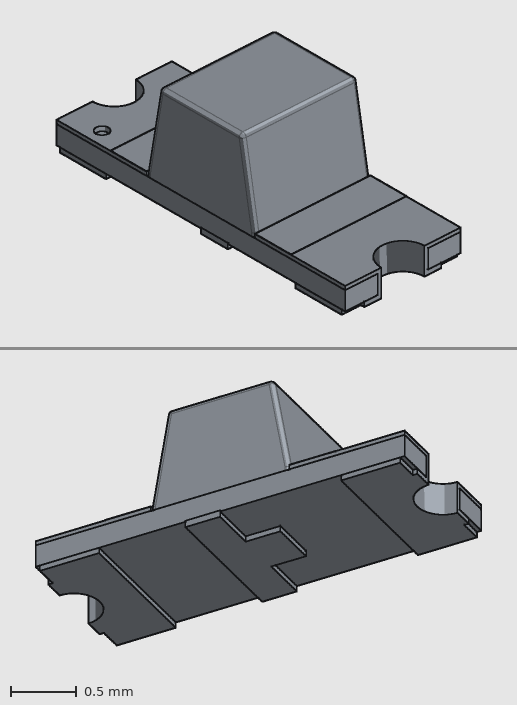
import cadquery as cq
import math

LENGTH = 3.2
WIDTH = 1.2
HEIGHT = 1.1

PAD_THICKNESS = 0.048
BOARD_THICKNESS = 0.192
COPPER_THICKNESS = 0.04
MASK_THICKNESS = 0.003
BOARD_TOP = PAD_THICKNESS + BOARD_THICKNESS
COPPER_TOP = BOARD_TOP + COPPER_THICKNESS

NOTCH_RADIUS = 0.225
BOARD_NOTCH_RADIUS = NOTCH_RADIUS + COPPER_THICKNESS

PAD_REACH = 0.55
PAD_CORNER_INSET = 0.04
PAD_TAB_WIDTH = 0.8

LENS_LENGTH = 1.2
LENS_DRAFT = 10.0
LENS_FILLET = 0.04

MASK_LENGTH = 0.4

DIMPLE_X = -1.25
DIMPLE_Y = -0.45
DIMPLE_TOP_RADIUS = 0.065
DIMPLE_FLOOR_RADIUS = 0.05

MARK_BAR_LENGTH = 0.3
MARK_STEM_LENGTH = 0.3
MARK_STEM_WIDTH = 0.4
MARK_RECESS = 0.01
MARK_THICKNESS = PAD_THICKNESS + MARK_RECESS


def block(x_start, x_end, width, z_start, z_end):
    """Box between two X and two Z positions, centred on Y = 0."""
    return (
        cq.Workplane("XY")
        .box(x_end - x_start, width, z_end - z_start, centered=(False, True, False))
        .translate((x_start, 0, z_start))
    )


def notch_cylinder(side, radius, z_start, z_end):
    """Upright cylinder centred on the end face on the given side (-1 or 1)."""
    return (
        cq.Workplane("XY", origin=(side * LENGTH / 2, 0, z_start))
        .circle(radius)
        .extrude(z_end - z_start)
    )


def make_polarity_mark():
    bar = block(0, MARK_BAR_LENGTH, WIDTH, 0, MARK_THICKNESS)
    stem = block(-MARK_STEM_LENGTH, 0, MARK_STEM_WIDTH, 0, MARK_THICKNESS)
    return bar.union(stem)


def make_board(polarity_mark):
    """Board with enlarged end notches and a recess that fits the polarity mark."""
    board = block(-LENGTH / 2, LENGTH / 2, WIDTH, PAD_THICKNESS, BOARD_TOP)
    for side in (-1, 1):
        board = board.cut(notch_cylinder(side, BOARD_NOTCH_RADIUS, PAD_THICKNESS, BOARD_TOP))
    return board.cut(polarity_mark)


def make_terminal():
    """Left terminal: top plate, plated notch wall and solder pad in one piece."""
    end = -LENGTH / 2
    top_plate = block(end, -LENS_LENGTH / 2, WIDTH, BOARD_TOP, COPPER_TOP)
    pad = block(end + PAD_CORNER_INSET, end + PAD_REACH, WIDTH, 0, PAD_THICKNESS)
    pad_tab = block(end, end + PAD_REACH, PAD_TAB_WIDTH, 0, PAD_THICKNESS)
    inside_half = block(end, 0, WIDTH, PAD_THICKNESS, BOARD_TOP)
    notch_wall = notch_cylinder(-1, BOARD_NOTCH_RADIUS, PAD_THICKNESS, BOARD_TOP).intersect(inside_half)
    terminal = pad.union(pad_tab).union(notch_wall).union(top_plate)
    return terminal.cut(notch_cylinder(-1, NOTCH_RADIUS, 0, COPPER_TOP))


def make_dimple():
    """Tapered dimple through the top plate, with the board as its floor."""
    return (
        cq.Workplane("XY", origin=(DIMPLE_X, DIMPLE_Y, BOARD_TOP))
        .circle(DIMPLE_FLOOR_RADIUS)
        .workplane(offset=COPPER_THICKNESS)
        .circle(DIMPLE_TOP_RADIUS)
        .loft()
    )


def make_lens():
    """Lens with an upright foot between the top plates and drafted end faces above."""
    foot_half = LENS_LENGTH / 2
    top_half = foot_half - (HEIGHT - COPPER_TOP) * math.tan(math.radians(LENS_DRAFT))
    profile = [
        (-foot_half, BOARD_TOP),
        (foot_half, BOARD_TOP),
        (foot_half, COPPER_TOP),
        (top_half, HEIGHT),
        (-top_half, HEIGHT),
        (-foot_half, COPPER_TOP),
    ]
    lens = cq.Workplane("XZ").polyline(profile).close().extrude(WIDTH / 2, both=True)
    top_edges = lens.faces(">Z").edges().vals()
    end_face_edges = lens.faces("<Y or >Y").edges("not |X").vals()
    return lens.newObject(top_edges + end_face_edges).fillet(LENS_FILLET)


def make_mask_strip():
    """Left mask strip, lying on the top plate against the foot of the lens."""
    lens_side = -LENS_LENGTH / 2
    return block(lens_side - MASK_LENGTH, lens_side, WIDTH, COPPER_TOP, COPPER_TOP + MASK_THICKNESS)


polarity_mark = make_polarity_mark()
board = make_board(polarity_mark)
lens = make_lens()

terminals = []
mask_strips = []
for turn in (0, 180):
    terminals.append(make_terminal().rotate((0, 0, 0), (0, 0, 1), turn))
    mask_strips.append(make_mask_strip().rotate((0, 0, 0), (0, 0, 1), turn))
terminals[0] = terminals[0].cut(make_dimple())

result = cq.Compound.makeCompound(
    [board.val(), lens.val(), polarity_mark.val()]
    + [body.val() for body in terminals + mask_strips]
)